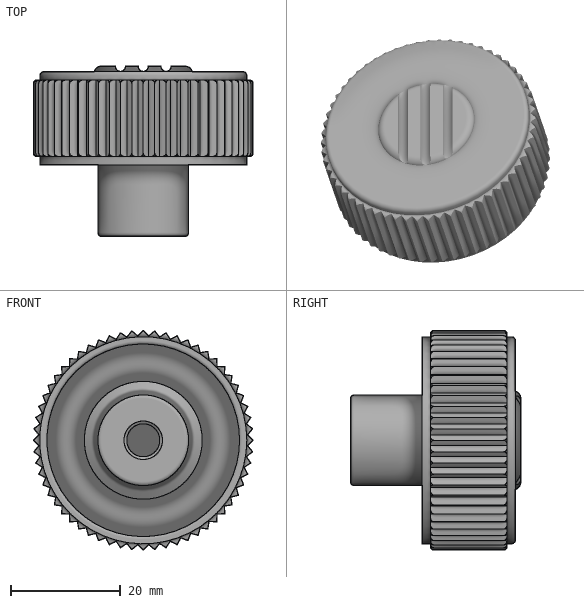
import cadquery as cq
import math


hub_radius = 16.5 / 2
hub_edge_round = 0.65
shoulder_radius = 21.45 / 2
shoulder_start = 13.15
shoulder_end = shoulder_start + (shoulder_radius - hub_radius)

bore_diameter = 6.0
bore_mouth_diameter = 7.0
bore_depth = 16.0

rim_start = 13.0
rim_end = 30.0
rim_radius = 37.69 / 2
rim_back_round = 0.75
cavity_radius = 35.05 / 2
cavity_mouth_round = 0.55
floor_thickness = 1.6
cavity_floor = rim_end - floor_thickness

tooth_count = 60
tooth_tip_radius = 20.0
tooth_end_setback = 1.55
tooth_start = rim_start + tooth_end_setback
tooth_end = rim_end - tooth_end_setback
tooth_end_round = 0.6

cap_height = 0.99
cap_flat_radius = 7.6
cap_edge_round = 1.4
cap_radius = cap_flat_radius + cap_edge_round
cap_start = rim_end - floor_thickness / 2
groove_radius = 0.9
groove_depth = 0.95
groove_spacing = 4.15
groove_count = 3


def make_body():
    """Revolve the hub, shoulder, hollow rim and back face."""
    round_reach = math.sqrt(0.5)
    mouth_radius = cavity_radius + cavity_mouth_round
    mouth_depth = rim_start + cavity_mouth_round
    mouth_mid = cavity_mouth_round * (1 - round_reach)
    hub_mid = hub_edge_round * (1 - round_reach)
    back_mid = rim_back_round * (1 - round_reach)
    profile = (
        cq.Workplane("XY")
        .lineTo(hub_radius - hub_edge_round, 0)
        .threePointArc((hub_radius - hub_mid, hub_mid), (hub_radius, hub_edge_round))
        .lineTo(hub_radius, shoulder_start)
        .lineTo(shoulder_radius, shoulder_end)
        .lineTo(shoulder_radius, cavity_floor)
        .lineTo(cavity_radius, cavity_floor)
        .lineTo(cavity_radius, mouth_depth)
        .threePointArc((cavity_radius + mouth_mid, rim_start + mouth_mid), (mouth_radius, rim_start))
        .lineTo(rim_radius, rim_start)
        .lineTo(rim_radius, rim_end - rim_back_round)
        .threePointArc((rim_radius - back_mid, rim_end - back_mid), (rim_radius - rim_back_round, rim_end))
        .lineTo(0, rim_end)
        .close()
    )
    return profile.revolve(360, (0, 0, 0), (0, 1, 0))


def cylinder(radius, start, end):
    """Solid cylinder on the Y axis between two Y positions."""
    return cq.Workplane("XZ", origin=(0, start, 0)).circle(radius).extrude(start - end)


def make_knurl():
    """Ring of pointed teeth, rounded at both ends, to be joined to the rim."""
    half_pitch = math.pi / tooth_count
    valley_radius = tooth_tip_radius / (math.cos(half_pitch) + math.sin(half_pitch))
    outline = []
    for index in range(2 * tooth_count):
        radius = tooth_tip_radius if index % 2 == 0 else valley_radius
        angle = index * half_pitch
        outline.append((radius * math.cos(angle), radius * math.sin(angle)))
    star = (
        cq.Workplane("XZ", origin=(0, tooth_start, 0))
        .polyline(outline)
        .close()
        .extrude(tooth_start - tooth_end)
    )
    envelope = cylinder(tooth_tip_radius, tooth_start, tooth_end).edges().fillet(tooth_end_round)
    core = cylinder((cavity_radius + rim_radius) / 2, tooth_start, tooth_end)
    return star.intersect(envelope).cut(core)


def make_cap():
    """Low round cap with parallel round-bottomed grooves running along Z."""
    cap_top = rim_end + cap_height
    cap = cylinder(cap_radius, cap_start, cap_top)
    cap = cap.faces(">Y").edges().fillet(cap_edge_round)
    for index in range(groove_count):
        x = (index - (groove_count - 1) / 2) * groove_spacing
        groove = (
            cq.Workplane("XY")
            .center(x, cap_top - groove_depth + groove_radius)
            .circle(groove_radius)
            .extrude(cap_radius, both=True)
        )
        cap = cap.cut(groove)
    return cap


def make_bore():
    """Blind bore from the hub end with a 45 degree mouth chamfer."""
    bore_radius = bore_diameter / 2
    mouth_radius = bore_mouth_diameter / 2
    return (
        cq.Workplane("XY")
        .lineTo(mouth_radius, 0)
        .lineTo(bore_radius, mouth_radius - bore_radius)
        .lineTo(bore_radius, bore_depth)
        .lineTo(0, bore_depth)
        .close()
        .revolve(360, (0, 0, 0), (0, 1, 0))
    )


result = make_body().union(make_knurl()).union(make_cap()).cut(make_bore())